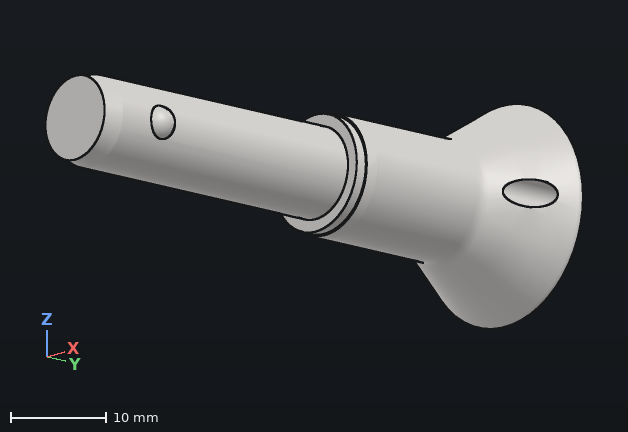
import cadquery as cq
import math

shank_length = 34.6
handle_length = 27.5

shank_radius = 5.0
tip_radius = 4.55
tip_length = 2.25

ball_radius = 1.85
ball_span = 12.1
ball_from_tip = 7.95

sleeve_radius = 6.65
sleeve_end_radius = 6.5
sleeve_round_length = 1.4
collar_radius = 6.35
collar_length = 1.3

head_radius = 12.0
flare_angle = math.radians(30.5)
rim_back_radius = 0.4
rim_front_radius = 0.7
neck_fillet_radius = 2.2

hole_diameter = 3.0
hole_offset = 9.25


def revolve_about_axis(profile):
    """Turn a closed half profile, drawn as (radius, Y), about the pin axis."""
    return profile.close().revolve(360, (0, 0, 0), (0, 1, 0))


def make_shank():
    """Cylindrical shank with a tapered tip."""
    profile = (
        cq.Workplane("XY")
        .lineTo(shank_radius, 0)
        .lineTo(shank_radius, tip_length - shank_length)
        .lineTo(tip_radius, -shank_length)
        .lineTo(0, -shank_length)
    )
    return revolve_about_axis(profile)


def make_handle():
    """Collar, sleeve and flared head as one turned body."""
    sine = math.sin(flare_angle)
    cosine = math.cos(flare_angle)

    rim_y = handle_length - rim_back_radius
    flare_end = (
        head_radius - rim_front_radius * (1 - cosine),
        rim_y - rim_front_radius * sine,
    )

    flare_start_radius = sleeve_radius + neck_fillet_radius * (1 - cosine)
    flare_length = (flare_end[0] - flare_start_radius) / math.tan(flare_angle)
    flare_start = (flare_start_radius, flare_end[1] - flare_length)
    neck_start = (sleeve_radius, flare_start[1] - neck_fillet_radius * sine)

    round_start = (sleeve_end_radius, collar_length)
    round_end = (sleeve_radius, collar_length + sleeve_round_length)
    round_drop = sleeve_radius - sleeve_end_radius
    round_radius = (sleeve_round_length**2 + round_drop**2) / (2 * round_drop)

    profile = (
        cq.Workplane("XY")
        .lineTo(collar_radius, 0)
        .lineTo(collar_radius, collar_length)
        .lineTo(*round_start)
        .radiusArc(round_end, -round_radius)
        .lineTo(*neck_start)
        .radiusArc(flare_start, neck_fillet_radius)
        .lineTo(*flare_end)
        .radiusArc((head_radius, rim_y), -rim_front_radius)
        .radiusArc((head_radius - rim_back_radius, handle_length), -rim_back_radius)
        .lineTo(0, handle_length)
    )
    return revolve_about_axis(profile)


def make_ball(side):
    """Locking ball on the +X (side = 1) or -X (side = -1) flank of the shank."""
    center_x = side * (ball_span / 2 - ball_radius)
    center_y = ball_from_tip - shank_length
    return cq.Workplane("XY").sphere(ball_radius).translate((center_x, center_y, 0))


def make_lanyard_hole():
    """Cutter for the hole through the head, parallel to the pin axis."""
    return (
        cq.Workplane("XZ", origin=(hole_offset, handle_length, 0))
        .circle(hole_diameter / 2)
        .extrude(handle_length)
    )


result = make_handle().union(make_shank())
for ball_side in (1, -1):
    result = result.union(make_ball(ball_side))
result = result.cut(make_lanyard_hole())